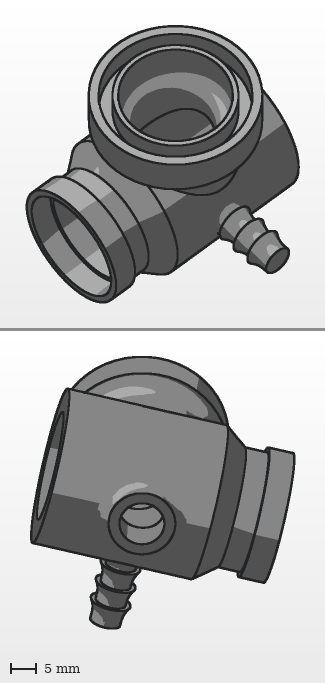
import cadquery as cq
import math


tube_radius = 15.5
tube_back = 18.47
cone_back = -13.5
cone_front = -18.0
spigot_radius = 12.05
flange_back = -22.5
flange_radius = 13.0
tube_front = -27.5
bore_radius = 10.78
counterbore_radius = 11.55
counterbore_depth = 5.0

socket_radius = 17.0
socket_top = 24.55
socket_height = 8.0
neck_radius = 13.58
neck_fillet = 3.0
groove_outer_radius = 15.0
groove_inner_radius = 12.3
groove_depth = 5.0
cup_radius = 11.2
cup_wall_depth = 5.3
throat_radius = 8.02
throat_arc_radius = 3.0

boss_radius = 6.55
boss_bottom = -17.9
boss_fillet = 2.35
drain_radius = 4.4

barb_end = 29.65
stem_radius = 3.05
barb_radius = 4.0
barb_arc_radius = 6.0
barb_count = 3
barb_pitch = 4.0
first_barb = 17.25
stem_fillet = 2.0


def make_tube():
    """Outer body of the main tube, with its cone, spigot and end flange."""
    profile = [
        (0, tube_back),
        (tube_radius, tube_back),
        (tube_radius, cone_back),
        (spigot_radius, cone_front),
        (spigot_radius, flange_back),
        (flange_radius, flange_back),
        (flange_radius, tube_front),
        (0, tube_front),
    ]
    return cq.Workplane("XY").polyline(profile).close().revolve(360, (0, 0), (0, 1))


def add_boss_and_stem(body):
    """Drain boss and plain barb stem, both blended into the tube."""
    boss = cq.Workplane("XY").circle(boss_radius).extrude(boss_bottom)
    body = body.union(boss)
    boss_root = cq.selectors.BoxSelector(
        (-boss_radius - 0.45, -boss_radius - 0.45, -tube_radius - 0.45),
        (boss_radius + 0.45, boss_radius + 0.45, -tube_radius / 2),
    )
    body = body.edges(boss_root).fillet(boss_fillet)
    stem = cq.Workplane("YZ").circle(stem_radius).extrude(barb_end)
    body = body.union(stem)
    stem_root = cq.selectors.BoxSelector(
        (tube_radius / 2, -stem_radius - 0.45, -stem_radius - 0.45),
        (tube_radius + 0.45, stem_radius + 0.45, stem_radius + 0.45),
    )
    return body.edges(stem_root).fillet(stem_fillet)


def make_barb(start):
    """One barb ring: a square shoulder, then a hollow taper tangent to the stem."""
    drop = barb_radius - stem_radius
    length = math.sqrt(barb_arc_radius**2 - (barb_arc_radius - drop) ** 2)
    half_angle = math.asin(length / barb_arc_radius) / 2
    arc_middle = (
        start + length - barb_arc_radius * math.sin(half_angle),
        stem_radius + barb_arc_radius * (1 - math.cos(half_angle)),
    )
    return (
        cq.Workplane("XY")
        .moveTo(start, 0)
        .lineTo(start, barb_radius)
        .threePointArc(arc_middle, (start + length, stem_radius))
        .lineTo(start + length, 0)
        .close()
        .revolve(360, (0, 0), (1, 0))
    )


def make_socket():
    """Outer body of the socket and its neck, joined by a concave blend."""
    underside = socket_top - socket_height
    blend_side = neck_fillet * (1 - math.sqrt(0.5))
    return (
        cq.Workplane("XZ")
        .lineTo(neck_radius, 0)
        .lineTo(neck_radius, underside - neck_fillet)
        .threePointArc(
            (neck_radius + blend_side, underside - blend_side),
            (neck_radius + neck_fillet, underside),
        )
        .lineTo(socket_radius, underside)
        .lineTo(socket_radius, socket_top)
        .lineTo(0, socket_top)
        .close()
        .revolve(360, (0, 0), (0, 1))
    )


def make_socket_cavity():
    """Cup narrowing to the throat through two equal tangent arcs."""
    wall_end = socket_top - cup_wall_depth
    half_step = (cup_radius - throat_radius) / 2
    sweep = math.acos(1 - half_step / throat_arc_radius)
    arc_height = throat_arc_radius * math.sin(sweep)
    throat_top = wall_end - 2 * arc_height
    middle_side = throat_arc_radius * (1 - math.cos(sweep / 2))
    middle_drop = throat_arc_radius * math.sin(sweep / 2)
    return (
        cq.Workplane("XZ")
        .lineTo(0, socket_top)
        .lineTo(cup_radius, socket_top)
        .lineTo(cup_radius, wall_end)
        .threePointArc(
            (cup_radius - middle_side, wall_end - middle_drop),
            (cup_radius - half_step, wall_end - arc_height),
        )
        .threePointArc(
            (throat_radius + middle_side, throat_top + middle_drop),
            (throat_radius, throat_top),
        )
        .lineTo(throat_radius, 0)
        .close()
        .revolve(360, (0, 0), (0, 1))
    )


def make_groove():
    """Ring groove in the top face of the socket."""
    return (
        cq.Workplane("XY", origin=(0, 0, socket_top))
        .circle(groove_outer_radius)
        .circle(groove_inner_radius)
        .extrude(-groove_depth)
    )


def make_tube_bore():
    """Through bore of the main tube, widened at the flanged end."""
    bore = cq.Workplane("XZ", origin=(0, tube_back, 0)).circle(bore_radius).extrude(tube_back - tube_front)
    counterbore = (
        cq.Workplane("XZ", origin=(0, tube_front, 0))
        .circle(counterbore_radius)
        .extrude(-counterbore_depth)
    )
    return bore.union(counterbore)


result = add_boss_and_stem(make_tube())
for index in range(barb_count):
    result = result.union(make_barb(first_barb + index * barb_pitch))
result = result.union(make_socket())

drain = cq.Workplane("XY").circle(drain_radius).extrude(boss_bottom)
for cavity in (make_tube_bore(), make_socket_cavity(), make_groove(), drain):
    result = result.cut(cavity)